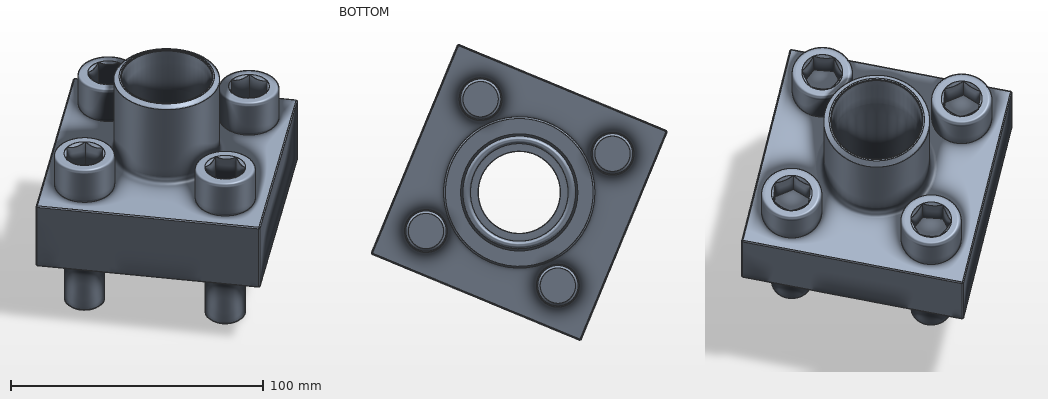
import cadquery as cq
import math

flange_turn = 22.5
bolt_count = 4
bolt_circle_radius = 80 / 2
bolt_step = 360 / bolt_count
first_bolt_angle = flange_turn + bolt_step / 2

plate_side = 90
plate_thickness = 29
plate_edge_chamfer = 0.47
boss_radius = 60 / 2
boss_height = 2
boss_chamfer = 0.7
boss_overlap = 5
neck_radius = 42 / 2
neck_height = 37
neck_root_fillet = 3
neck_bevel_width = 1.8
neck_bevel_slope = 30
neck_edge_break = 0.3
neck_bevel_height = neck_bevel_width * math.tan(math.radians(neck_bevel_slope))
upper_bore_radius = 36 / 2
bore_exit_radius = 32.5 / 2
upper_bore_depth = 18.6
clearance_hole_radius = 17 / 2

plate_bottom = boss_height
plate_top = plate_bottom + plate_thickness
neck_top = plate_top + neck_height
bevel_outer_radius = neck_radius - neck_edge_break
bevel_inner_radius = bevel_outer_radius - neck_bevel_width
taper_top = neck_top - upper_bore_depth

groove_inner_radius = 38.7 / 2
groove_outer_radius = 46.47 / 2
groove_depth = 2.3
seal_section_radius = 3 / 2
seal_mean_radius = groove_inner_radius + seal_section_radius
seal_center_height = groove_depth - seal_section_radius

shank_radius = 16 / 2
shank_length = 55
shank_tip_chamfer = 1
head_radius = 24 / 2
head_height = 16
head_top_fillet = 1.6
head_bottom_fillet = 1.6
hex_across_flats = 14
hex_across_corners = hex_across_flats / math.cos(math.radians(30))
hex_depth = 11
hex_lead_in_depth = (hex_across_corners - hex_across_flats) / 2


def bolt_directions():
    """Angles of the screws around the axis, on the diagonals of the turned plate."""
    return [first_bolt_angle + index * bolt_step for index in range(bolt_count)]


def bolt_position(angle):
    x = bolt_circle_radius * math.cos(math.radians(angle))
    y = bolt_circle_radius * math.sin(math.radians(angle))
    return (x, y)


def cylinder(radius, bottom, top):
    return cq.Workplane("XY").workplane(offset=bottom).circle(radius).extrude(top - bottom)


def make_plate():
    plate = cq.Workplane("XY").workplane(offset=plate_bottom).rect(plate_side, plate_side)
    plate = plate.extrude(plate_thickness).edges().chamfer(plate_edge_chamfer)
    return plate.rotate((0, 0, 0), (0, 0, 1), flange_turn)


def make_neck():
    """Revolved neck: concave root fillet at the plate, weld bevel with a broken edge at the top."""
    root_radius = neck_radius + neck_root_fillet
    arc_inset = neck_root_fillet * (1 - math.sin(math.radians(45)))
    profile = (
        cq.Workplane("XZ")
        .moveTo(0, plate_bottom)
        .lineTo(root_radius, plate_bottom)
        .lineTo(root_radius, plate_top)
        .threePointArc(
            (neck_radius + arc_inset, plate_top + arc_inset),
            (neck_radius, plate_top + neck_root_fillet),
        )
        .lineTo(neck_radius, neck_top - neck_bevel_height - neck_edge_break)
        .lineTo(bevel_outer_radius, neck_top - neck_bevel_height)
        .lineTo(bevel_inner_radius, neck_top)
        .lineTo(0, neck_top)
        .close()
    )
    return profile.revolve(360, (0, 0), (0, 1))


def make_bore():
    """Straight upper bore, then a slow taper down to the small bore at the boss face."""
    profile = (
        cq.Workplane("XZ")
        .lineTo(bore_exit_radius, 0)
        .lineTo(upper_bore_radius, taper_top)
        .lineTo(upper_bore_radius, neck_top - neck_edge_break)
        .lineTo(upper_bore_radius + neck_edge_break, neck_top)
        .lineTo(0, neck_top)
        .close()
    )
    return profile.revolve(360, (0, 0), (0, 1))


def make_flange():
    boss_root = plate_bottom + boss_overlap
    boss = cylinder(boss_radius, 0, boss_root).faces("<Z").edges().chamfer(boss_chamfer)
    groove = cylinder(groove_outer_radius, 0, groove_depth)
    groove = groove.cut(cylinder(groove_inner_radius, 0, groove_depth))
    flange = make_plate().union(boss).union(make_neck()).cut(make_bore()).cut(groove)
    clearance_hole = cylinder(clearance_hole_radius, 0, plate_top)
    for angle in bolt_directions():
        x, y = bolt_position(angle)
        flange = flange.cut(clearance_hole.translate((x, y, 0)))
    return flange


def make_seal_ring():
    section = cq.Workplane("XZ").center(seal_mean_radius, seal_center_height).circle(seal_section_radius)
    return section.revolve(360, (-seal_mean_radius, 0), (-seal_mean_radius, 1))


def make_bolt(angle):
    """Cap screw seated on the plate, its socket turned along with its place on the bolt circle."""
    head_top = plate_top + head_height
    head = cylinder(head_radius, plate_top, head_top)
    head = head.faces(">Z").edges().fillet(head_top_fillet)
    head = head.faces("<Z").edges().fillet(head_bottom_fillet)
    shank = cylinder(shank_radius, plate_top - shank_length, plate_top)
    shank = shank.faces("<Z").edges().chamfer(shank_tip_chamfer)
    socket = (
        cq.Workplane("XY")
        .workplane(offset=head_top - hex_depth)
        .polygon(6, hex_across_corners)
        .extrude(hex_depth)
    )
    lead_in = (
        cq.Workplane("XY")
        .workplane(offset=head_top)
        .circle(hex_across_corners / 2)
        .workplane(offset=-hex_lead_in_depth)
        .circle(hex_across_flats / 2)
        .loft()
    )
    bolt = head.union(shank).cut(socket).cut(lead_in)
    x, y = bolt_position(angle)
    return bolt.rotate((0, 0, 0), (0, 0, 1), angle - first_bolt_angle).translate((x, y, 0))


flange = make_flange()
seal_ring = make_seal_ring()
bolts = [make_bolt(angle) for angle in bolt_directions()]

result = cq.Compound.makeCompound([flange.val(), seal_ring.val(), *[bolt.val() for bolt in bolts]])